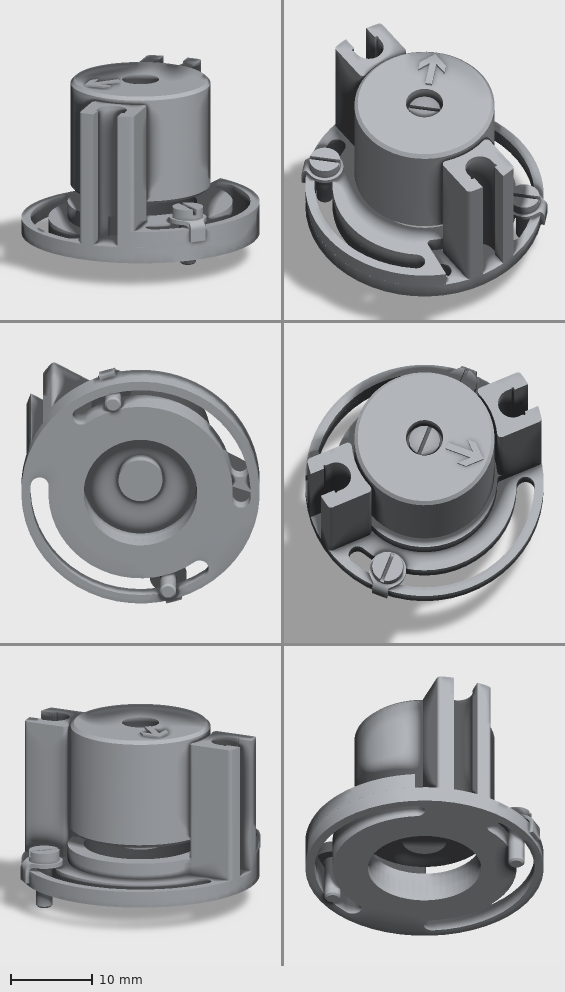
import cadquery as cq
import math

plate_thickness = 2.0
disc_radius = 14.7
ring_outer_radius = 9.0
ring_inner_radius = 7.0
corner_radius = 0.5

post_half_width = 3.5
post_top = 18.7
groove_radius = 1.82
groove_center = 11.88
groove_lip = 12.82
groove_mouth_width = 3.1
relief_radius = 0.18
relief_overhang = 0.12
mouth_overrun = 0.3

detail_width = 2.0
pocket_height = 2.6
pocket_floor = 9.4
hook_reach = 1.0

slot_radius = 12.47
slot_width = 2.2
slot_end_angle = 65.0
bracket_slot_start_angle = 50.0
flange_end_turn = 10.0
flange_end_gap = 0.25

knob_radius = 8.65
knob_bottom = 5.85
knob_top = 19.55
knob_chamfer = 0.4
recess_diameter = 4.6
recess_to_head = 1.0
knob_screw_hole = 2.4
knob_web = 2.0
spindle_diameter = 5.4

arrow_height = 0.3
arrow_angle = -135
arrow_start = 2.97
arrow_tip = 7.8
arrow_shaft_half = 0.4
arrow_head_half = 1.65
arrow_barb = 1.12

shank_diameter = 2.0
shank_length = 5.97
tip_chamfer = 0.24
head_diameter = 3.8
head_height = 1.3
driver_slot_width = 0.5
driver_slot_depth = 0.8
driver_slot_angle = -45

washer_thickness = 0.5
washer_radius = 2.3
washer_hole = 2.2
washer_lift = 0.5
tab_width = 2.0
tab_height = 2.53

base_top = plate_thickness
bracket_top = base_top + plate_thickness
knob_seat = knob_top - recess_to_head - head_height
spindle_top = knob_seat - knob_web
tab_inner = disc_radius - slot_radius
tab_outer = tab_inner + washer_thickness
bend_radius = 2 * washer_thickness
low_screw_angle = 135
high_screw_angle = -45


def cylinder(radius, bottom, top):
    return cq.Workplane("XY").workplane(offset=bottom).circle(radius).extrude(top - bottom)


def polar(radius, angle):
    a = math.radians(angle)
    return (radius * math.cos(a), radius * math.sin(a))


def curved_slot(start, end, bottom, top):
    """Round-ended slot along the screw circle, running anticlockwise from start to end."""
    inner = slot_radius - slot_width / 2
    outer = slot_radius + slot_width / 2
    middle = (start + end) / 2
    cap = math.degrees(slot_width / 2 / slot_radius)
    return (
        cq.Workplane("XY")
        .workplane(offset=bottom)
        .moveTo(*polar(inner, start))
        .threePointArc(polar(inner, middle), polar(inner, end))
        .threePointArc(polar(slot_radius, end + cap), polar(outer, end))
        .threePointArc(polar(outer, middle), polar(outer, start))
        .threePointArc(polar(slot_radius, start - cap), polar(inner, start))
        .close()
        .extrude(top - bottom)
    )


def post(bottom):
    """Post on the +Y side, between the ring and the rim of the disc."""
    block = (
        cq.Workplane("XY")
        .workplane(offset=bottom)
        .rect(2 * post_half_width, 2 * disc_radius)
        .extrude(post_top - bottom)
        .intersect(cylinder(disc_radius, bottom, post_top))
        .cut(cylinder(ring_outer_radius, bottom, post_top))
        .solids(">Y")
    )
    return cq.Workplane(block.val()).edges("|Z").fillet(corner_radius)


def post_groove():
    """Keyhole groove of the +Y post, open to the outside and at the top."""
    depth = post_top - base_top
    floor = cq.Workplane("XY").workplane(offset=base_top)
    round_end = floor.center(0, groove_center).circle(groove_radius).extrude(depth)
    throat_length = groove_lip - groove_center
    throat = (
        floor.center(0, groove_center + throat_length / 2)
        .rect(2 * groove_radius, throat_length)
        .extrude(depth)
    )
    mouth_length = disc_radius + mouth_overrun - groove_center
    mouth = (
        floor.center(0, groove_center + mouth_length / 2)
        .rect(groove_mouth_width, mouth_length)
        .extrude(depth)
    )
    relief_x = groove_radius + relief_overhang - relief_radius
    reliefs = (
        floor.pushPoints([(side * relief_x, groove_lip - relief_radius) for side in (-1, 1)])
        .circle(relief_radius)
        .extrude(depth)
    )
    return round_end.union(throat).union(mouth).union(reliefs)


def half_turn(shape):
    """Carry a shape from the +Y side to the -Y side."""
    return shape.rotate((0, 0, 0), (0, 0, 1), 180)


def make_base():
    base = cylinder(disc_radius, 0, base_top).cut(cylinder(ring_inner_radius, 0, base_top))
    for middle in (0, 180):
        base = base.cut(curved_slot(middle - slot_end_angle, middle + slot_end_angle, 0, base_top))
    hook_root = ring_outer_radius + corner_radius
    hook = (
        cq.Workplane("YZ")
        .moveTo(ring_outer_radius - hook_reach, bracket_top)
        .lineTo(hook_root, bracket_top)
        .lineTo(hook_root, bracket_top + hook_reach)
        .lineTo(ring_outer_radius, bracket_top + hook_reach)
        .close()
        .extrude(detail_width / 2, both=True)
    )
    return base.union(post(base_top).cut(post_groove())).union(hook)


def flange_gap():
    """Open side of the flange, from the -Y post round to the flange end near the base post."""
    turn = math.radians(-flange_end_turn)
    end_offset = post_half_width + flange_end_gap
    reach = 2 * disc_radius

    def on_flange_end(along):
        return (
            end_offset * math.cos(turn) - along * math.sin(turn),
            end_offset * math.sin(turn) + along * math.cos(turn),
        )

    gap = (
        cq.Workplane("XY")
        .workplane(offset=base_top)
        .polyline([
            (-post_half_width, 0),
            on_flange_end(0),
            on_flange_end(reach),
            (-reach, reach),
            (-reach, -reach),
            (-post_half_width, -reach),
        ])
        .close()
        .extrude(plate_thickness)
        .cut(cylinder(ring_outer_radius, base_top, bracket_top))
    )
    near_ring = cq.selectors.BoxSelector(
        (-disc_radius, -disc_radius, base_top), (disc_radius, disc_radius, bracket_top)
    )
    return gap.edges("|Z").edges(near_ring).fillet(corner_radius)


def make_bracket():
    flange = cylinder(disc_radius, base_top, bracket_top).cut(flange_gap())
    post_corner = (-post_half_width, -disc_radius, base_top + plate_thickness / 2)
    flange = flange.edges("|Z").edges(cq.NearestToPointSelector(post_corner)).fillet(corner_radius)
    flange = flange.cut(cylinder(ring_inner_radius, base_top, bracket_top))
    flange = flange.cut(
        curved_slot(-slot_end_angle, bracket_slot_start_angle, base_top, bracket_top)
    )
    pocket = cq.Workplane("XY").box(
        detail_width, groove_center - pocket_floor, pocket_height, centered=(True, False, False)
    ).translate((0, pocket_floor, base_top))
    bracket = flange.union(half_turn(post(bracket_top)))
    return bracket.cut(half_turn(post_groove())).cut(half_turn(pocket))


def make_arrow():
    """Arrow pointing from the axis towards -X -Y."""
    barb_outer = arrow_tip - arrow_head_half
    barb_inner = barb_outer - arrow_barb
    neck = barb_inner + arrow_head_half - arrow_shaft_half
    upper_side = [
        (arrow_start, arrow_shaft_half),
        (neck, arrow_shaft_half),
        (barb_inner, arrow_head_half),
        (barb_outer, arrow_head_half),
    ]
    lower_side = [(x, -y) for x, y in reversed(upper_side)]
    return (
        cq.Workplane("XY")
        .workplane(offset=knob_top)
        .polyline(upper_side + [(arrow_tip, 0)] + lower_side)
        .close()
        .extrude(arrow_height)
        .rotate((0, 0, 0), (0, 0, 1), arrow_angle)
    )


def make_knob():
    return (
        cylinder(knob_radius, knob_bottom, knob_top)
        .faces("<Z or >Z")
        .chamfer(knob_chamfer)
        .cut(cylinder(recess_diameter / 2, knob_seat, knob_top))
        .cut(cylinder(knob_screw_hole / 2, spindle_top, knob_seat))
        .cut(cylinder(spindle_diameter / 2, knob_bottom, spindle_top))
        .union(make_arrow())
    )


def make_spindle():
    return cylinder(spindle_diameter / 2, bracket_top, spindle_top).cut(
        cylinder(shank_diameter / 2, knob_seat - shank_length, spindle_top)
    )


def make_screw():
    shank = cylinder(shank_diameter / 2, -shank_length, 0).faces("<Z").chamfer(tip_chamfer)
    driver_slot = (
        cq.Workplane("XY")
        .workplane(offset=head_height - driver_slot_depth)
        .rect(2 * head_diameter, driver_slot_width)
        .extrude(driver_slot_depth)
        .rotate((0, 0, 0), (0, 0, 1), driver_slot_angle)
    )
    return shank.union(cylinder(head_diameter / 2, 0, head_height)).cut(driver_slot)


def make_washer():
    side_profile = (
        cq.Workplane("XZ")
        .moveTo(-washer_radius, 0)
        .lineTo(-washer_radius, washer_thickness)
        .lineTo(tab_outer - bend_radius, washer_thickness)
        .radiusArc((tab_outer, washer_thickness - bend_radius), bend_radius)
        .lineTo(tab_outer, washer_thickness - tab_height)
        .lineTo(tab_inner, washer_thickness - tab_height)
        .lineTo(tab_inner, washer_thickness - bend_radius)
        .radiusArc((tab_outer - bend_radius, 0), -(bend_radius - washer_thickness))
        .close()
        .extrude(washer_radius, both=True)
    )
    tangent = washer_radius * math.sqrt(0.5)
    tab_root = 2 * tangent - tab_width / 2
    outline_bottom = washer_thickness - tab_height
    outline = (
        cq.Workplane("XY")
        .workplane(offset=outline_bottom)
        .moveTo(tangent, tangent)
        .threePointArc((-washer_radius, 0), (tangent, -tangent))
        .lineTo(tab_root, -tab_width / 2)
        .lineTo(tab_outer, -tab_width / 2)
        .lineTo(tab_outer, tab_width / 2)
        .lineTo(tab_root, tab_width / 2)
        .close()
        .extrude(tab_height)
    )
    hole = cylinder(washer_hole / 2, 0, washer_thickness)
    return side_profile.intersect(outline).cut(hole)


base = make_base()
bracket = make_bracket()
knob = make_knob()
spindle = make_spindle()

screws = [make_screw().translate((0, 0, knob_seat))]
washers = []
for angle, plate_top in ((low_screw_angle, base_top), (high_screw_angle, bracket_top)):
    x, y = polar(slot_radius, angle)
    washer_bottom = plate_top + washer_lift
    turned_washer = make_washer().rotate((0, 0, 0), (0, 0, 1), angle)
    washers.append(turned_washer.translate((x, y, washer_bottom)))
    screws.append(make_screw().translate((x, y, washer_bottom + washer_thickness)))

bodies = [base, bracket, knob, spindle, *screws, *washers]
result = cq.Compound.makeCompound([body.solids().val() for body in bodies])